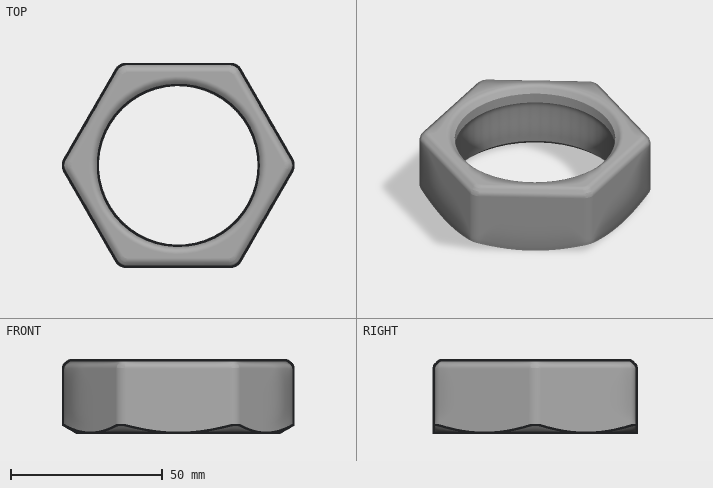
import cadquery as cq
import math

across_flats = 67.0
height = 24.0
corner_radius = 4.0
rim_chamfer = 2.0
rim_blend_radius = 2.0

underside_contact_radius = across_flats / 2
underside_angle = 30.0

mouth_radius = 26.5
mouth_chamfer = 2.0
mouth_blend_radius = 2.0
shoulder_height = 18.5
bore_radius = 28.33
bore_entry_chamfer = 2.0


def hexagon(width_across_flats):
    """Hexagon outline in the base plane with two sides facing +Y and -Y."""
    across_corners = width_across_flats / math.cos(math.radians(30))
    return cq.Workplane("XY").polygon(6, across_corners)


def revolve_profile(points):
    """Turn a closed (radius, Z) outline about the Z axis."""
    outline = cq.Workplane("XZ").polyline(points).close()
    return outline.revolve(360, (0, 0, 0), (0, 1, 0))


def chamfered_hexagon():
    """Hexagonal prism with a 45 degree top chamfer; upright and sloping corners share one radius."""
    prism = hexagon(across_flats).extrude(height)
    prism = prism.edges("|Z").fillet(corner_radius)

    pyramid_base_width = across_flats + 2 * (height - rim_chamfer)
    pyramid = hexagon(pyramid_base_width).extrude(height, taper=45)
    pyramid = pyramid.edges("not #Z").fillet(corner_radius)
    return prism.intersect(pyramid)


def blend_rim(body):
    """Round both edge loops of the top chamfer."""
    slab_bottom = height - 1.5 * rim_chamfer
    slab_top = height - 0.6 * rim_chamfer
    slab = cq.selectors.BoxSelector(
        (-across_flats, -across_flats, slab_bottom),
        (across_flats, across_flats, slab_top),
    )
    lower_loop = body.edges(slab)
    upper_loop = body.faces(">Z").edges()
    return lower_loop.add(upper_loop).fillet(rim_blend_radius)


def underside_envelope():
    """Round body whose lower cone meets the flats at the base and cuts only the corners."""
    outer_radius = across_flats
    rise = (outer_radius - underside_contact_radius) * math.tan(math.radians(underside_angle))
    top = height + rise
    return revolve_profile(
        [
            (0, 0),
            (underside_contact_radius, 0),
            (outer_radius, rise),
            (outer_radius, top),
            (0, top),
        ]
    )


def bore_cutter():
    """Stepped bore with a chamfered entry below and a countersunk mouth above."""
    return revolve_profile(
        [
            (0, 0),
            (bore_radius + bore_entry_chamfer, 0),
            (bore_radius, bore_entry_chamfer),
            (bore_radius, shoulder_height),
            (mouth_radius, shoulder_height),
            (mouth_radius, height - mouth_chamfer),
            (mouth_radius + mouth_chamfer, height),
            (0, height),
        ]
    )


def blend_mouth(body):
    """Round the edge between the countersink and the top face."""
    mouth_edge = body.faces(">Z").edges("%CIRCLE")
    return mouth_edge.fillet(mouth_blend_radius)


body = blend_rim(chamfered_hexagon())
body = body.intersect(underside_envelope())
result = blend_mouth(body.cut(bore_cutter()))